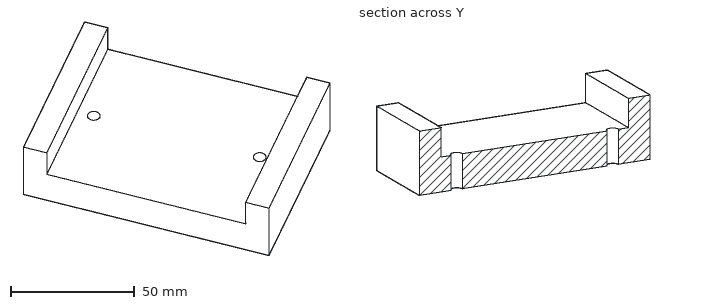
import cadquery as cq

length = 105.0
depth = 75.0
height = 27.4

wall_thickness = 10.0
floor_thickness = 15.0
channel_width = length - 2 * wall_thickness
channel_depth = height - floor_thickness

hole_diameter = 5.0
hole_spacing = 71.0

block = cq.Workplane("XY").box(length, depth, height, centered=(True, True, False))

channel = (
    cq.Workplane("XY")
    .workplane(offset=floor_thickness)
    .box(channel_width, depth, channel_depth, centered=(True, True, False))
)

holes = (
    cq.Workplane("XY")
    .pushPoints([(-hole_spacing / 2, 0), (hole_spacing / 2, 0)])
    .circle(hole_diameter / 2)
    .extrude(floor_thickness)
)

result = block.cut(channel).cut(holes)